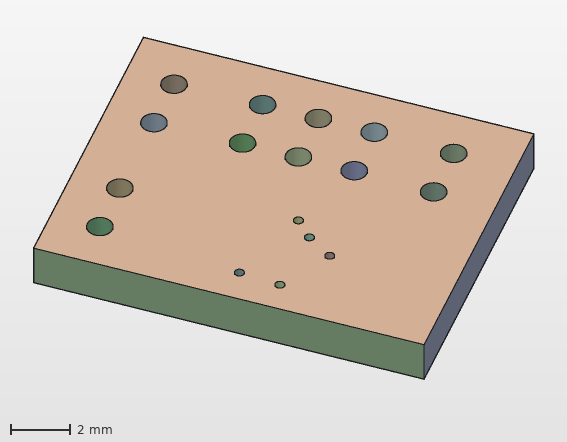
import cadquery as cq

LENGTH = 13.97
WIDTH = 10.95
THICKNESS = 1.6

LARGE_DIAMETER = 0.9
PITCH = 2.0
LEFT_X = -5.24
RIGHT_X = 4.76
UPPER_PAIR_Y = 3.66
LOWER_PAIR_Y = -1.73
GRID_X = -2.1
GRID_Y = 3.73
GRID_COLUMNS = 3

SMALL_DIAMETER = 0.34
SMALL_CENTERS = [
    (0.95, -1.19),
    (1.58, -1.85),
    (2.53, -2.46),
    (-0.05, -4.26),
    (1.42, -4.36),
]


def vertical_pair(x, top_y):
    """Centers of two holes, one pitch apart along Y."""
    return [(x, top_y), (x, top_y - PITCH)]


def drill(plate, centers, diameter):
    """Drill holes through the full thickness of the plate."""
    return plate.faces(">Z").workplane(origin=(0, 0, 0)).pushPoints(centers).hole(diameter)


large_centers = (
    vertical_pair(LEFT_X, UPPER_PAIR_Y)
    + vertical_pair(LEFT_X, LOWER_PAIR_Y)
    + vertical_pair(RIGHT_X, UPPER_PAIR_Y)
)
for column in range(GRID_COLUMNS):
    large_centers += vertical_pair(GRID_X + column * PITCH, GRID_Y)

result = cq.Workplane("XY").box(LENGTH, WIDTH, THICKNESS)
result = drill(result, large_centers, LARGE_DIAMETER)
result = drill(result, SMALL_CENTERS, SMALL_DIAMETER)